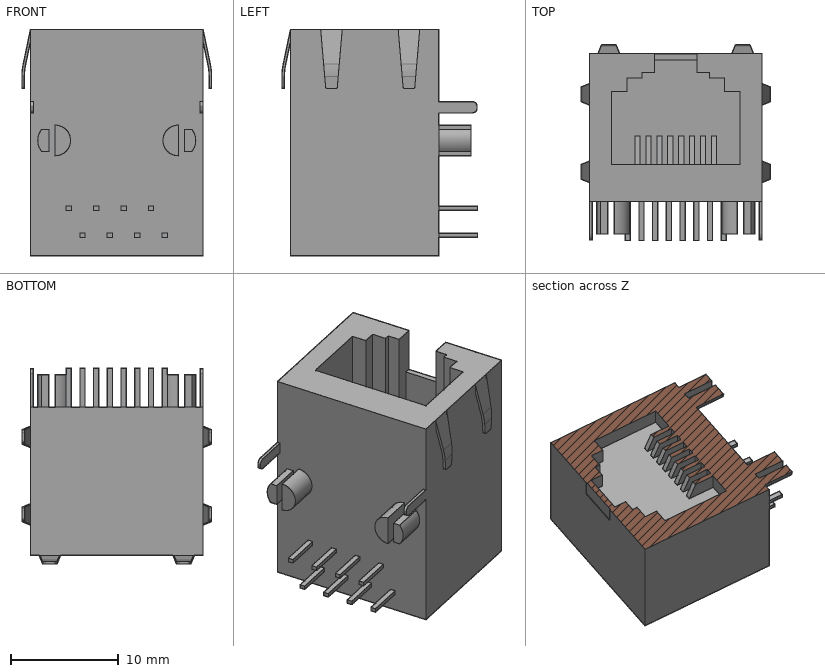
import cadquery as cq
import math


BODY_WIDTH = 16.0
BODY_DEPTH = 13.75
BODY_HEIGHT = 21.0
HALF_WIDTH = BODY_WIDTH / 2

FRONT_WALL = 3.45
OPENING_STEPS = [(5.95, 10.2), (4.53, 11.45), (3.13, 11.95)]
OPENING_DEPTH = 12.0
OPENING_FLOOR = BODY_HEIGHT - OPENING_DEPTH
LATCH_HALF_WIDTH = 1.97
LATCH_WALL = 0.55
LATCH_WALL_RECESS = 0.05
LATCH_WALL_DROP = 4.25

CONTACT_COUNT = 8
CONTACT_PITCH = 1.01
CONTACT_WIDTH = 0.48
CONTACT_REACH = 2.65
CONTACT_SLOPE = 65.0

SPRING_OFFSET = 0.8
SPRING_THICKNESS = 0.25
SPRING_BEND_DROP = 3.8
SPRING_LENGTH = 5.5
SPRING_BEND_RADIUS = 5.5
SPRING_TOP_WIDTH = 2.0
SPRING_TIP_WIDTH = 1.06
SPRING_TIP_FILLET = 0.15
SIDE_SPRING_Y = (2.77, 9.95)
BACK_SPRING_X = 6.2

TAB_THICKNESS = 0.28
TAB_WIDTH = 1.06
TAB_LENGTH = 3.55
TAB_FILLET = 0.45
TAB_Z = BODY_HEIGHT - 7.23

PEG_X = 5.7
PEG_Z = 10.7
PEG_LENGTH = 3.0
PEG_RADIUS = 1.42
PEG_SLOT = 0.59
PEG_LIP_RADIUS = 1.62
PEG_LIP_HEIGHT = 2.06

PIN_PITCH = 2.54
PINS_PER_ROW = 4
PIN_WIDTH = 0.5
PIN_HEIGHT = 0.38
PIN_LENGTH = 3.6
PIN_STAGGER = PIN_PITCH / 4
LOWER_PIN_Z = 1.92
UPPER_PIN_Z = LOWER_PIN_Z + 2.5


def block(x_range, y_range, z_range):
    """Box between the given limits."""
    size = [high - low for low, high in (x_range, y_range, z_range)]
    corner = (x_range[0], y_range[0], z_range[0])
    return cq.Workplane("XY").box(*size, centered=False).translate(corner)


def mirrored_pair(shape):
    """The shape and its mirror image across X = 0."""
    return shape.union(shape.mirror("YZ"))


def make_body():
    body = block((-HALF_WIDTH, HALF_WIDTH), (0, BODY_DEPTH), (0, BODY_HEIGHT))
    full_height = (OPENING_FLOOR, BODY_HEIGHT)
    for half_width, y_end in OPENING_STEPS:
        body = body.cut(block((-half_width, half_width), (FRONT_WALL, y_end), full_height))

    latch = (-LATCH_HALF_WIDTH, LATCH_HALF_WIDTH)
    wall_inside = BODY_DEPTH - LATCH_WALL_RECESS - LATCH_WALL
    wall_outside = BODY_DEPTH - LATCH_WALL_RECESS
    wall_top = BODY_HEIGHT - LATCH_WALL_DROP
    body = body.cut(block(latch, (FRONT_WALL, wall_inside), full_height))
    body = body.cut(block(latch, (wall_inside, BODY_DEPTH), (wall_top, BODY_HEIGHT)))
    return body.cut(block(latch, (wall_outside, BODY_DEPTH), full_height))


def make_contacts():
    rise = CONTACT_REACH * math.tan(math.radians(CONTACT_SLOPE))
    ramp = (
        cq.Workplane("YZ")
        .moveTo(FRONT_WALL, OPENING_FLOOR)
        .lineTo(FRONT_WALL + CONTACT_REACH, OPENING_FLOOR)
        .lineTo(FRONT_WALL, OPENING_FLOOR + rise)
        .close()
        .extrude(CONTACT_WIDTH / 2, both=True)
    )
    contacts = cq.Workplane("XY")
    for index in range(CONTACT_COUNT):
        x = (index - (CONTACT_COUNT - 1) / 2) * CONTACT_PITCH
        contacts = contacts.add(ramp.translate((x, 0, 0)))
    return contacts.combine()


def make_spring():
    """Bent, tapered finger leaning out toward +X from the top edge of a wall at X = 0."""
    lean = math.atan2(SPRING_OFFSET, SPRING_BEND_DROP)
    inner_offset = SPRING_OFFSET - SPRING_THICKNESS
    inner_bend_drop = SPRING_BEND_DROP + SPRING_THICKNESS * math.tan(lean / 2)
    root_drop = inner_bend_drop - inner_offset / math.tan(lean)
    strip = (
        cq.Workplane("XZ")
        .polyline([
            (0, 0),
            (SPRING_OFFSET, -SPRING_BEND_DROP),
            (SPRING_OFFSET, -SPRING_LENGTH),
            (inner_offset, -SPRING_LENGTH),
            (inner_offset, -inner_bend_drop),
            (0, -root_drop),
        ])
        .close()
        .extrude(SPRING_TOP_WIDTH / 2, both=True)
    )
    bend_height = 0.1
    outer_bend = cq.selectors.BoxSelector(
        (SPRING_OFFSET - bend_height, -SPRING_TOP_WIDTH, -SPRING_BEND_DROP - bend_height),
        (SPRING_OFFSET + bend_height, SPRING_TOP_WIDTH, -SPRING_BEND_DROP + bend_height),
    )
    inner_bend = cq.selectors.BoxSelector(
        (inner_offset - bend_height, -SPRING_TOP_WIDTH, -inner_bend_drop - bend_height),
        (inner_offset + bend_height, SPRING_TOP_WIDTH, -inner_bend_drop + bend_height),
    )
    strip = strip.edges(outer_bend).fillet(SPRING_BEND_RADIUS)
    strip = strip.edges(inner_bend).fillet(SPRING_BEND_RADIUS - SPRING_THICKNESS)
    taper = (
        cq.Workplane("YZ")
        .polyline([
            (-SPRING_TOP_WIDTH / 2, 0),
            (SPRING_TOP_WIDTH / 2, 0),
            (SPRING_TIP_WIDTH / 2, -SPRING_LENGTH),
            (-SPRING_TIP_WIDTH / 2, -SPRING_LENGTH),
        ])
        .close()
        .extrude(SPRING_OFFSET)
        .edges("|X and <Z")
        .fillet(SPRING_TIP_FILLET)
    )
    return strip.intersect(taper)


def make_springs():
    spring = make_spring()
    back_spring = spring.rotate((0, 0, 0), (0, 0, 1), 90)
    springs = mirrored_pair(back_spring.translate((BACK_SPRING_X, BODY_DEPTH, BODY_HEIGHT)))
    for y in SIDE_SPRING_Y:
        springs = springs.union(mirrored_pair(spring.translate((HALF_WIDTH, y, BODY_HEIGHT))))
    return springs


def make_tabs():
    half = TAB_WIDTH / 2
    tab = block((HALF_WIDTH - TAB_THICKNESS, HALF_WIDTH), (-TAB_LENGTH, 0), (TAB_Z - half, TAB_Z + half))
    return mirrored_pair(tab.edges("|X and <Y").fillet(TAB_FILLET))


def make_pegs():
    """Pegs split by a vertical slot: a half round inside and a flattened lip outside."""
    peg_plane = cq.Workplane("XZ", origin=(PEG_X, 0, PEG_Z))
    lip_start = PEG_X + PEG_SLOT
    lip_end = PEG_X + PEG_LIP_RADIUS
    lip_half = PEG_LIP_HEIGHT / 2
    length = (-PEG_LENGTH, 0)

    half_round = peg_plane.circle(PEG_RADIUS).extrude(PEG_LENGTH)
    inner_side = block(
        (PEG_X - PEG_RADIUS, PEG_X), length, (PEG_Z - PEG_RADIUS, PEG_Z + PEG_RADIUS)
    )
    lip = peg_plane.circle(PEG_LIP_RADIUS).extrude(PEG_LENGTH)
    outer_side = block((lip_start, lip_end), length, (PEG_Z - lip_half, PEG_Z + lip_half))
    return mirrored_pair(half_round.intersect(inner_side).union(lip.intersect(outer_side)))


def make_pins():
    pins = cq.Workplane("XY")
    for z, stagger in ((LOWER_PIN_Z, PIN_STAGGER), (UPPER_PIN_Z, -PIN_STAGGER)):
        for index in range(PINS_PER_ROW):
            x = (index - (PINS_PER_ROW - 1) / 2) * PIN_PITCH + stagger
            pin = block(
                (x - PIN_WIDTH / 2, x + PIN_WIDTH / 2),
                (-PIN_LENGTH, 0),
                (z - PIN_HEIGHT / 2, z + PIN_HEIGHT / 2),
            )
            pins = pins.add(pin)
    return pins.combine()


result = make_body()
for feature in (make_contacts(), make_springs(), make_tabs(), make_pegs(), make_pins()):
    result = result.union(feature)